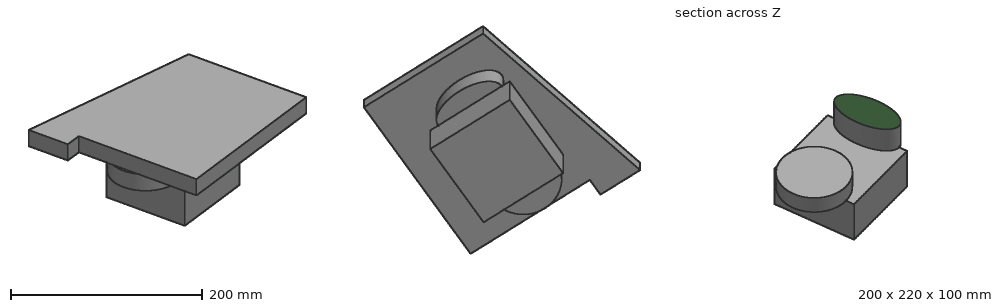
import cadquery as cq

base_height = 50
disc_height = 20
post_height = 30
plate_thickness = 20

base_side = 100

disc_radius = 40
post_radius_x = 40
post_radius_y = 20

plate_left = -100
plate_right = 100
plate_back = 100
plate_front = -100
plate_step_x = -50
tongue_length = 20


def make_base():
    """Square block standing on Z = 0."""
    return cq.Workplane("XY").box(base_side, base_side, base_height, centered=(True, True, False))


def make_disc():
    """Round disc resting on the base, centred over its -Y edge."""
    return (
        cq.Workplane("XY", origin=(0, -base_side / 2, base_height))
        .circle(disc_radius)
        .extrude(disc_height)
    )


def make_post():
    """Elliptical post carrying the plate, centred over the +Y edge of the base."""
    return (
        cq.Workplane("XY", origin=(0, base_side / 2, base_height))
        .ellipse(post_radius_x, post_radius_y)
        .extrude(post_height)
    )


def make_plate():
    """Top plate with a slanted -X side and a tongue at its front left corner."""
    tongue_end = plate_front - tongue_length
    outline = [
        (plate_left, tongue_end),
        (plate_step_x, tongue_end),
        (plate_step_x, plate_front),
        (plate_right, plate_front),
        (plate_right, plate_back),
        (plate_step_x, plate_back),
    ]
    return (
        cq.Workplane("XY", origin=(0, 0, base_height + post_height))
        .polyline(outline)
        .close()
        .extrude(plate_thickness)
    )


base = make_base()
disc = make_disc()
post = make_post()
plate = make_plate()

result = cq.Compound.makeCompound([base.val(), disc.val(), post.val(), plate.val()])